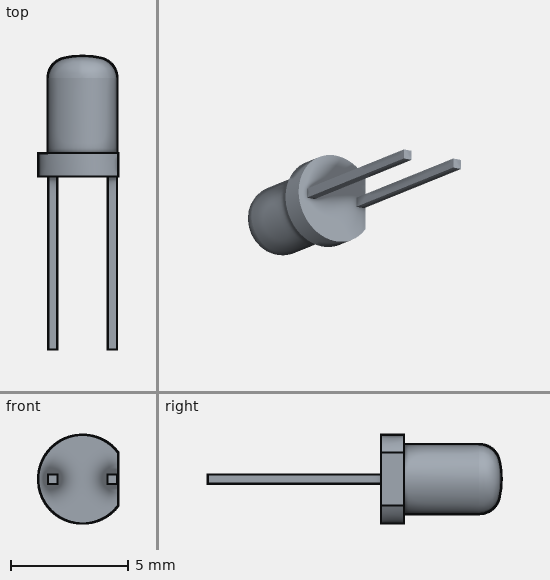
import cadquery as cq
import math


flange_radius = 1.9
flange_thickness = 1.0
flat_distance = 1.53

lens_radius = 1.5
lens_tip = 5.16
crown_radius = 3.5
shoulder_radius = 0.9

lead_width = 0.4
lead_pitch = 2.54
lead_length = 7.38


def make_flange():
    """Disc with one flat cut across its +X side."""
    disc = cq.Workplane("ZX").circle(flange_radius).extrude(flange_thickness)
    keep_width = flange_radius + flat_distance
    keep_block = (
        cq.Workplane("XY")
        .box(keep_width, flange_thickness, 2 * flange_radius, centered=(False, False, True))
        .translate((-flange_radius, 0, 0))
    )
    return disc.intersect(keep_block)


def make_lens():
    """Cylinder closed by a shallow cap with a tangent rounded shoulder, revolved about Y."""
    shoulder_center_offset = lens_radius - shoulder_radius
    center_distance = crown_radius - shoulder_radius
    crown_center_y = lens_tip - crown_radius
    shoulder_center_y = crown_center_y + math.sqrt(center_distance**2 - shoulder_center_offset**2)

    join_angle = math.asin(shoulder_center_offset / center_distance)
    shoulder_mid_angle = (join_angle + math.pi / 2) / 2

    def crown_point(angle):
        return (crown_radius * math.sin(angle), crown_center_y + crown_radius * math.cos(angle))

    shoulder_mid = (
        shoulder_center_offset + shoulder_radius * math.sin(shoulder_mid_angle),
        shoulder_center_y + shoulder_radius * math.cos(shoulder_mid_angle),
    )
    profile = (
        cq.Workplane("ZY")
        .moveTo(0, 0)
        .lineTo(lens_radius, 0)
        .lineTo(lens_radius, shoulder_center_y)
        .threePointArc(shoulder_mid, crown_point(join_angle))
        .threePointArc(crown_point(join_angle / 2), (0, lens_tip))
        .close()
    )
    return profile.revolve(360, (0, 0, 0), (0, 1, 0))


def make_leads():
    """Two square leads, one on each side of the lens axis."""
    return (
        cq.Workplane("XZ")
        .pushPoints([(-lead_pitch / 2, 0), (lead_pitch / 2, 0)])
        .rect(lead_width, lead_width)
        .extrude(lead_length)
    )


result = make_flange().union(make_lens()).union(make_leads())